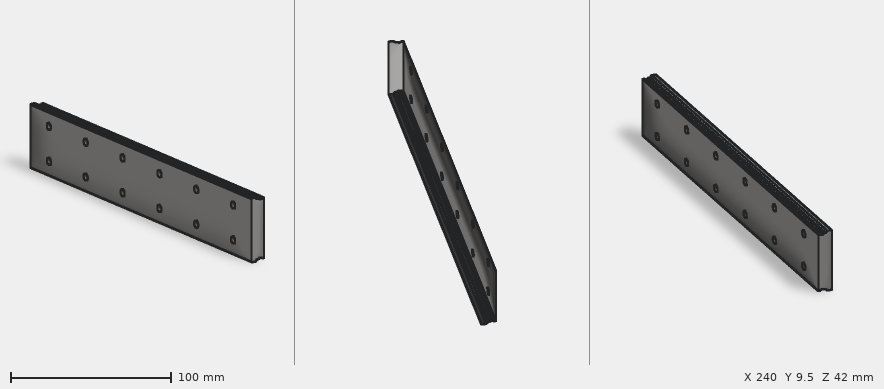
import cadquery as cq

length = 240
thickness = 9.5
height = 42.0

lip_chamfer = 0.5
lip_depth = 3.0
shoulder_front_depth = 4.3
shoulder_back_depth = 5.3
groove_floor_depth = 6.7
groove_wall_depth = 8.5
shoulder_drop = 1.2
groove_floor_drop = 2.0
groove_wall_drop = 1.7
ridge_drop = 1.2

hole_diameter = 4.5
holes_per_row = 6
row_count = 2
hole_pitch = length / holes_per_row
row_spacing = 22.8


def long_edge_outline(side):
    """Front-to-back (Y, Z) outline of the top (side=1) or bottom (side=-1) long edge."""
    depth_and_drop = [
        (0, lip_chamfer),
        (lip_chamfer, 0),
        (lip_depth, 0),
        (shoulder_front_depth, shoulder_drop),
        (shoulder_back_depth, shoulder_drop),
        (groove_floor_depth, groove_floor_drop),
        (groove_wall_depth, groove_wall_drop),
        (groove_wall_depth, ridge_drop),
        (thickness, ridge_drop),
    ]
    return [(depth - thickness / 2, side * (height / 2 - drop)) for depth, drop in depth_and_drop]


section = long_edge_outline(1) + long_edge_outline(-1)[::-1]
bar = cq.Workplane("YZ").polyline(section).close().extrude(length / 2, both=True)

holes = (
    cq.Workplane("XZ")
    .rarray(hole_pitch, row_spacing, holes_per_row, row_count)
    .circle(hole_diameter / 2)
    .extrude(thickness, both=True)
)

result = bar.cut(holes)